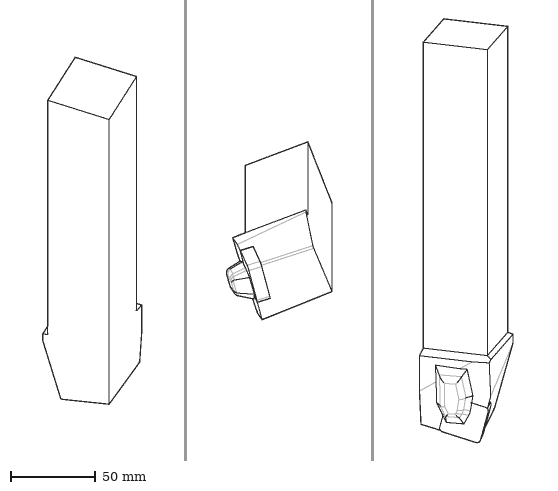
import cadquery as cq
import math

length = 251.3
shank_side = 40.0
side_step = 3.3
width = shank_side + side_step
head_height = 47.5
shoulder_z = 56.3
shoulder_slope = 15.0
shank_overlap = 5.0

corner_x = 11.8
corner_z = 5.8
corner_radius = 1.3
approach = 15.0
relief = 6.0

rake_corner_y = 40.2
rake_along_end = 7.0
rake_along_side = 6.0

insert_side = 25.5
insert_thickness = 8.0
insert_nose_radius = 2.4
insert_overhang = 0.88

clamp_height = 10.3
clamp_sink = 2.5
clamp_nose_radius = 10.0
clamp_top_radius = 3.8
rear_wall = (13.5, 49.0, 10.0)
right_wall = (32.5, 49.0, 26.0)
right_front_wall = (33.2, 25.1, 30.0)
end_wall = (27.6, 12.0, 45.0)
nose_wall = (17.0, 12.0, 28.0)
left_front_wall = (13.0, 19.5, 21.0)
left_wall = (10.8, 31.5, 15.0)
clamp_walls = [rear_wall, right_wall, right_front_wall, end_wall, nose_wall, left_front_wall, left_wall]

block = 3 * length

approach_sin = math.sin(math.radians(approach))
approach_cos = math.cos(math.radians(approach))
along_end = cq.Vector(approach_cos, 0, approach_sin)
along_side = cq.Vector(-approach_sin, 0, approach_cos)
up = cq.Vector(0, 1, 0)

relief_slope = math.tan(math.radians(relief))
side_flank_normal = along_end * -1 - up * relief_slope
end_flank_normal = along_side * -1 - up * relief_slope
corner = cq.Vector(corner_x, 0, corner_z)
corner_edge = up - (along_end + along_side) * relief_slope
tip = corner + corner_edge * rake_corner_y

rake_end_line = along_end + up * math.tan(math.radians(rake_along_end))
rake_side_line = along_side + up * math.tan(math.radians(rake_along_side))
rake_normal = rake_side_line.cross(rake_end_line).normalized()


def on_rake(x, z):
    """Point of the rake plane at the given x and z."""
    drop = rake_normal.x * (x - tip.x) + rake_normal.z * (z - tip.z)
    return cq.Vector(x, tip.y - drop / rake_normal.y, z)


def trim(body, point, outward):
    """Remove everything beyond the plane through `point` that faces `outward`."""
    plane = cq.Plane(origin=point.toTuple(), normal=outward.toTuple())
    return body.cut(cq.Workplane(plane).rect(block, block).extrude(block))


def make_insert():
    start = tip - (along_end + along_side) * insert_overhang
    plane = cq.Plane(
        origin=on_rake(start.x, start.z).toTuple(),
        xDir=rake_end_line.toTuple(),
        normal=(rake_normal * -1).toTuple(),
    )
    return (
        cq.Workplane(plane)
        .rect(insert_side, insert_side, centered=False)
        .extrude(insert_thickness)
        .edges(cq.selectors.ParallelDirSelector(rake_normal))
        .fillet(insert_nose_radius)
    )


def make_head():
    head = cq.Workplane("XY").box(width, head_height, shoulder_z, centered=False)
    head = trim(head, corner, side_flank_normal)
    head = trim(head, corner, end_flank_normal)
    head = head.edges(cq.selectors.ParallelDirSelector(corner_edge)).fillet(corner_radius)
    head = trim(head, tip, rake_normal)
    shank_corner = cq.Vector(side_step, shank_side, shoulder_z)
    slope_sin = math.sin(math.radians(shoulder_slope))
    slope_cos = math.cos(math.radians(shoulder_slope))
    head = trim(head, shank_corner, cq.Vector(0, slope_sin, slope_cos))
    return trim(head, shank_corner, cq.Vector(-slope_sin, 0, slope_cos))


def make_shank():
    start_z = shoulder_z - shank_overlap
    shank = cq.Workplane("XY").box(shank_side, shank_side, length - start_z, centered=False)
    return shank.translate((side_step, 0, start_z))


def make_clamp():
    """Pad on the rake face with leaning walls, a rounded nose corner and a rounded top edge."""
    base = [on_rake(x, z) for x, z, lean in clamp_walls]
    plane = cq.Plane(origin=base[0].toTuple(), normal=rake_normal.toTuple())
    clamp = (
        cq.Workplane(plane)
        .workplane(offset=-clamp_sink)
        .rect(length, length)
        .extrude(clamp_sink + clamp_height)
    )
    for i, wall in enumerate(clamp_walls):
        lean = math.radians(wall[2])
        wall_line = base[(i + 1) % len(base)] - base[i]
        outward = wall_line.cross(rake_normal).normalized()
        clamp = trim(clamp, base[i], outward * math.cos(lean) + rake_normal * math.sin(lean))

    nose_corner = base[clamp_walls.index(left_front_wall)] + rake_normal * (clamp_height / 2)
    nose_edge = cq.selectors.NearestToPointSelector(nose_corner.toTuple())
    clamp = clamp.edges(nose_edge).fillet(clamp_nose_radius)
    top_face = cq.selectors.DirectionMinMaxSelector(rake_normal)
    return clamp.faces(top_face).edges().fillet(clamp_top_radius)


insert = make_insert()
holder = make_head().union(make_shank()).union(make_clamp()).cut(insert)

result = cq.Compound.makeCompound([holder.solids().val(), insert.solids().val()])